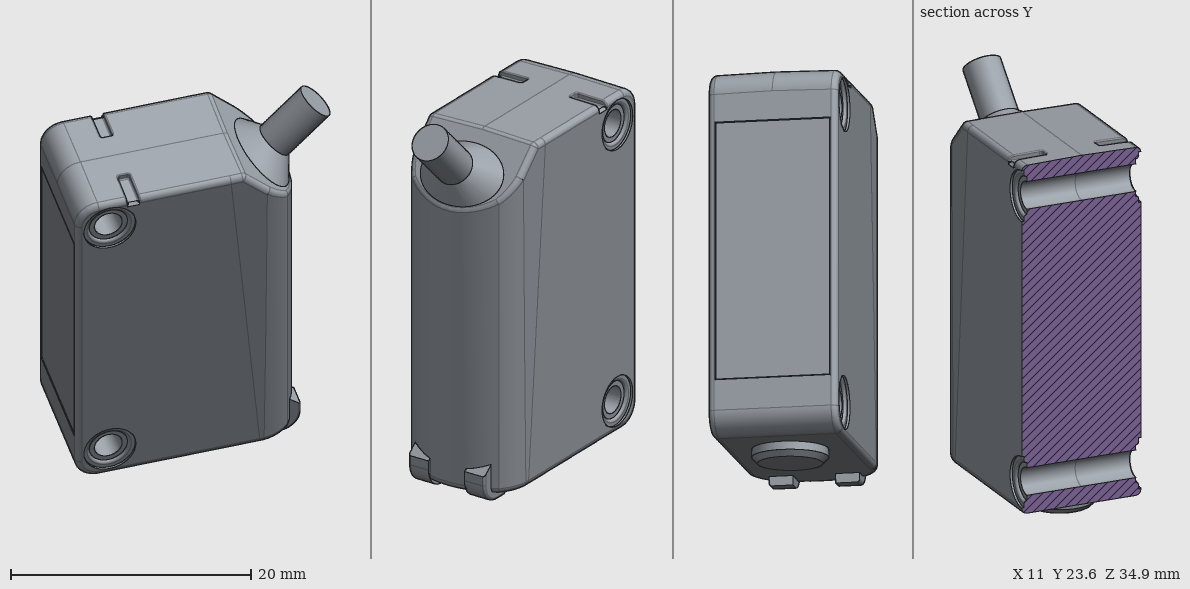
import cadquery as cq
import math

OVERALL_DEPTH = 23.55
OVERALL_HEIGHT = 34.95

WIDTH = 11.0
DEPTH = 20.0
BOTTOM_Z = 1.2
TOP_Z = 32.12
RIDGE_RISE = 0.1
CORNER_RADIUS = 2.0
EDGE_RADIUS = 0.52
SEAM_TOLERANCE = 0.05
HALF_WIDTH = WIDTH / 2
RIDGE_Z = TOP_Z + RIDGE_RISE

BACK_START_Y = 16.25
BACK_ARC_HALF_WIDTH = 4.4
BACK_ARC_START_Y = 18.65
CORNER_MID_X = 5.1
CORNER_MID_Y = 17.7

RELIEF_TOP_Y = 13.42
RELIEF_BOTTOM_Y = 15.97
RELIEF_ANGLE = 0.9

CABLE_DIAMETER = 3.32
CABLE_ANGLE = math.radians(45)
SLOPE_SUM = 46.85
BOOT_HEIGHT = 1.57
BOOT_HALF_WIDTH = 4.0
BOOT_HALF_LENGTH = 2.9

HOLE_Y = 2.95
HOLE_SPACING = 25.4
HOLE_BOTTOM_Z = 4.02
HOLE_DIAMETER = 2.4
HOLE_RECESS_DIAMETER = 4.5
HOLE_RECESS_DEPTH = 0.2
SEAT_RIM_DIAMETER = 3.85
SEAT_DIAMETER = 3.32

SLOT_Y = 5.0
SLOT_WIDTH = 1.05
SLOT_DEPTH = 0.5
SLOT_SPOUT_X = 5.2
SLOT_SPOUT_DROP = 0.2
SLOT_INNER_X = 2.4
SLOT_CORNER_RADIUS = 0.2
SLOT_EDGE_RADIUS = 0.1
SLOT_OVERRUN = 0.7

WINDOW_RECESS_WIDTH = 9.8
WINDOW_RECESS_HEIGHT = 22.0
WINDOW_CENTER_Z = 16.78
WINDOW_GAP = 0.07
WINDOW_THICKNESS = 1.05
WINDOW_SETBACK = 0.07

BUTTON_DIAMETER = 6.43
BUTTON_Y = 7.2
BUTTON_CHAMFER = 0.5

FOOT_INNER_X = 1.8
FOOT_OUTER_X = 3.85
FOOT_BOTTOM_Z = 0.4
FOOT_FRONT_Y = 17.02
FOOT_RADIUS = 1.9
FOOT_TOP_Z = 3.1
FOOT_SLOPE_RUN = 1.15
FOOT_SLOPE_RISE = 0.95
FOOT_EDGE_RADIUS = 0.2


def rounded_block():
    """Shell with curved back, ridged roof, leaning rear sides and rounded edges."""
    block = (
        cq.Workplane("XY", origin=(0, 0, BOTTOM_Z))
        .moveTo(-HALF_WIDTH, 0)
        .lineTo(HALF_WIDTH, 0)
        .lineTo(HALF_WIDTH, BACK_START_Y)
        .threePointArc((CORNER_MID_X, CORNER_MID_Y), (BACK_ARC_HALF_WIDTH, BACK_ARC_START_Y))
        .threePointArc((0, DEPTH), (-BACK_ARC_HALF_WIDTH, BACK_ARC_START_Y))
        .threePointArc((-CORNER_MID_X, CORNER_MID_Y), (-HALF_WIDTH, BACK_START_Y))
        .close()
        .extrude(RIDGE_Z - BOTTOM_Z)
    )
    roof = (
        cq.Workplane("XZ")
        .polyline([
            (-HALF_WIDTH, BOTTOM_Z), (HALF_WIDTH, BOTTOM_Z),
            (HALF_WIDTH, TOP_Z), (0, RIDGE_Z), (-HALF_WIDTH, TOP_Z),
        ])
        .close()
        .extrude(-DEPTH)
    )
    slope = (
        cq.Workplane("YZ")
        .polyline([
            (SLOPE_SUM - RIDGE_Z, RIDGE_Z), (DEPTH, SLOPE_SUM - DEPTH), (DEPTH, RIDGE_Z),
        ])
        .close()
        .extrude(HALF_WIDTH, both=True)
    )
    block = block.intersect(roof).cut(slope)
    for side in (-1, 1):
        block = block.cut(side_relief(side))
    block = block.faces("<Y").edges("|X or >Z").fillet(CORNER_RADIUS)
    return block.edges().filter(is_rim).fillet(EDGE_RADIUS)


def is_rim(edge):
    """True for outer edges to round; false for seams inside the front, roof, sides and back."""
    box = edge.BoundingBox()
    on_ridge = abs(box.center.x) < SEAM_TOLERANCE and box.xlen < EDGE_RADIUS
    across_front = box.ymax < CORNER_RADIUS + SEAM_TOLERANCE and box.xlen > HALF_WIDTH / 2
    upright_behind_front = box.ymin > CORNER_RADIUS and box.zlen > (TOP_Z - BOTTOM_Z) / 2
    return not (on_ridge or across_front or upright_behind_front)


def side_relief(side):
    """Thin wedge removed from the rear of one side."""
    line_y = RELIEF_TOP_Y - RELIEF_BOTTOM_Y
    line_z = RIDGE_Z - BOTTOM_Z
    line = cq.Vector(0, line_y, line_z)
    wedge_length = DEPTH - RELIEF_TOP_Y
    drop = wedge_length * math.tan(math.radians(RELIEF_ANGLE))
    plane = cq.Plane(
        origin=(side * HALF_WIDTH, RELIEF_BOTTOM_Y, BOTTOM_Z), xDir=(side, 0, 0), normal=line,
    )
    inward_y = side * wedge_length
    return (
        cq.Workplane(plane)
        .workplane(offset=-DEPTH)
        .polyline([(0, 0), (-drop, inward_y), (drop, inward_y)])
        .close()
        .extrude(line.Length + 2 * DEPTH)
    )


def slope_plane(offset):
    """Plane parallel to the sloped face, centred on the cable axis, raised by offset."""
    radius = CABLE_DIAMETER / 2
    axis_shift = (
        OVERALL_HEIGHT - radius * math.sin(CABLE_ANGLE)
        - (OVERALL_DEPTH - radius * math.cos(CABLE_ANGLE))
    )
    base_y = (SLOPE_SUM - axis_shift) / 2
    base_z = (SLOPE_SUM + axis_shift) / 2
    origin = (0, base_y + offset * math.cos(CABLE_ANGLE), base_z + offset * math.sin(CABLE_ANGLE))
    axis = (0, math.cos(CABLE_ANGLE), math.sin(CABLE_ANGLE))
    return cq.Plane(origin=origin, xDir=(1, 0, 0), normal=axis)


def cable_with_boot():
    """Tapered boot from an ellipse on the slope to a round cable."""
    radius = CABLE_DIAMETER / 2
    cable_end = (
        OVERALL_DEPTH - radius * math.cos(CABLE_ANGLE)
        - slope_plane(0).origin.y
    ) / math.cos(CABLE_ANGLE)
    boot = (
        cq.Workplane(slope_plane(0))
        .ellipse(BOOT_HALF_WIDTH, BOOT_HALF_LENGTH)
        .workplane(offset=BOOT_HEIGHT)
        .circle(radius)
        .loft(ruled=True)
    )
    cable = cq.Workplane(slope_plane(BOOT_HEIGHT)).circle(radius).extrude(cable_end - BOOT_HEIGHT)
    return boot.union(cable)


def foot(side):
    """Hook-shaped foot on one side of the rear bottom edge."""
    slope_y = DEPTH - FOOT_SLOPE_RUN
    arc_y = DEPTH - FOOT_RADIUS
    arc_z = FOOT_BOTTOM_Z + FOOT_RADIUS
    arc_reach = FOOT_RADIUS * math.sqrt(0.5)
    return (
        cq.Workplane("YZ", origin=(side * FOOT_INNER_X, 0, 0))
        .moveTo(FOOT_FRONT_Y, FOOT_BOTTOM_Z)
        .lineTo(arc_y, FOOT_BOTTOM_Z)
        .threePointArc((arc_y + arc_reach, arc_z - arc_reach), (DEPTH, arc_z))
        .lineTo(DEPTH, FOOT_TOP_Z)
        .lineTo(slope_y, FOOT_TOP_Z + FOOT_SLOPE_RISE)
        .lineTo(FOOT_FRONT_Y, FOOT_TOP_Z + FOOT_SLOPE_RISE)
        .close()
        .extrude(side * (FOOT_OUTER_X - FOOT_INNER_X))
        .faces(">X" if side > 0 else "<X")
        .edges()
        .filter(is_outer_foot_edge)
        .fillet(FOOT_EDGE_RADIUS)
    )


def is_outer_foot_edge(edge):
    """True for the foot edges that run along its underside, bend and back."""
    box = edge.BoundingBox()
    return box.ymax > FOOT_FRONT_Y + SEAM_TOLERANCE and box.zmax < FOOT_TOP_Z + SEAM_TOLERANCE


def button():
    """Round button with a chamfered lower rim."""
    return (
        cq.Workplane("XY", origin=(0, BUTTON_Y, 0))
        .circle(BUTTON_DIAMETER / 2)
        .extrude(BOTTOM_Z)
        .faces("<Z")
        .chamfer(BUTTON_CHAMFER)
    )


def mounting_hole(z):
    """Cutter for one through hole with the same stepped recess at both ends."""
    seat_start = HALF_WIDTH - HOLE_RECESS_DEPTH
    lip_radius = (SEAT_RIM_DIAMETER - SEAT_DIAMETER) / 2
    seat_end = seat_start - lip_radius
    half_hole = (
        cq.Workplane(cq.Plane(origin=(0, HOLE_Y, z), xDir=(0, 1, 0), normal=(0, 0, -1)))
        .lineTo(HOLE_DIAMETER / 2, 0)
        .lineTo(HOLE_DIAMETER / 2, seat_end)
        .lineTo(SEAT_DIAMETER / 2, seat_end)
        .radiusArc((SEAT_RIM_DIAMETER / 2, seat_start), lip_radius)
        .lineTo(HOLE_RECESS_DIAMETER / 2, seat_start)
        .lineTo(HOLE_RECESS_DIAMETER / 2, HALF_WIDTH)
        .lineTo(0, HALF_WIDTH)
        .close()
        .revolve(360, (0, 0, 0), (0, 1, 0))
    )
    return half_hole.union(half_hole.mirror("YZ"))


def roof_slot(side):
    """Cutter for one slot that runs out through the side, with a rounded floor."""
    length = HALF_WIDTH + SLOT_OVERRUN - SLOT_INNER_X
    return (
        cq.Workplane("XY", origin=(side * (SLOT_INNER_X + length / 2), SLOT_Y, TOP_Z - SLOT_DEPTH))
        .rect(length, SLOT_WIDTH)
        .extrude(SLOT_DEPTH + SLOT_OVERRUN)
        .edges("|Z")
        .fillet(SLOT_CORNER_RADIUS)
        .faces("<Z")
        .edges()
        .fillet(SLOT_EDGE_RADIUS)
    )


def slot_spout(side):
    """Cutter that slopes the outer end of a slot floor down to the side face."""
    floor_z = TOP_Z - SLOT_DEPTH
    return (
        cq.Workplane("XZ", origin=(0, SLOT_Y + SLOT_WIDTH / 2, 0))
        .polyline([
            (side * SLOT_SPOUT_X, floor_z), (side * HALF_WIDTH, floor_z - SLOT_SPOUT_DROP),
            (side * HALF_WIDTH, floor_z),
        ])
        .close()
        .extrude(SLOT_WIDTH)
    )


def is_slot_mouth(edge):
    """True for the edges where a slot breaks through the outer surface."""
    box = edge.BoundingBox()
    reach = SLOT_WIDTH / 2 + SEAM_TOLERANCE
    beside_slot = SLOT_Y - reach < box.ymin and box.ymax < SLOT_Y + reach
    on_roof = box.zmin > TOP_Z - SEAM_TOLERANCE
    floor_z = TOP_Z - SLOT_DEPTH
    on_side_round = abs(box.center.x) > HALF_WIDTH - EDGE_RADIUS and box.zmin > floor_z - EDGE_RADIUS
    return beside_slot and (on_roof or on_side_round)


def cut_roof_slots(body):
    """Cut both roof slots, round their mouths and slope their outer ends."""
    for side in (-1, 1):
        body = body.cut(roof_slot(side))
    body = body.edges().filter(is_slot_mouth).fillet(SLOT_EDGE_RADIUS)
    for side in (-1, 1):
        body = body.cut(slot_spout(side))
    return body


def window_block(margin, front_y):
    """Block from front_y back to the floor of the window recess, inset by margin all round."""
    floor_y = WINDOW_SETBACK + WINDOW_THICKNESS
    return (
        cq.Workplane("XZ", origin=(0, floor_y, WINDOW_CENTER_Z))
        .rect(WINDOW_RECESS_WIDTH - 2 * margin, WINDOW_RECESS_HEIGHT - 2 * margin)
        .extrude(floor_y - front_y)
    )


def make_housing():
    """Housing with its button, cable, feet, slots, mounting holes and window recess."""
    body = cut_roof_slots(rounded_block()).union(button()).union(cable_with_boot())
    for side in (-1, 1):
        body = body.union(foot(side))
    for z in (HOLE_BOTTOM_Z, HOLE_BOTTOM_Z + HOLE_SPACING):
        body = body.cut(mounting_hole(z))
    return body.cut(window_block(margin=0, front_y=0))


def make_window():
    """Flat window seated on the recess floor, slightly below the front face."""
    return window_block(margin=WINDOW_GAP, front_y=WINDOW_SETBACK)


housing = make_housing().solids()
window = make_window()
result = cq.Compound.makeCompound([housing.val(), window.val()])